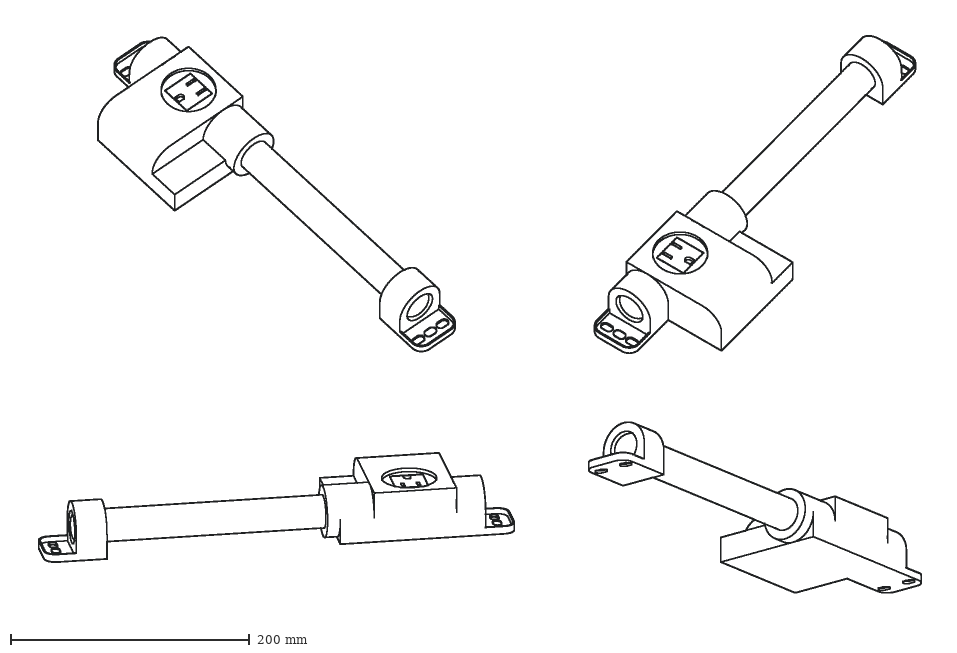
import cadquery as cq

LENGTH = 400
DEPTH = 100
HEIGHT = 44

BODY_RADIUS = HEIGHT / 2
AXIS_Y = DEPTH / 2 - BODY_RADIUS
AXIS_Z = BODY_RADIUS
ROD_RADIUS = 14.0
TIP_ROUNDING = 7.5

FLANGE_LENGTH = 26.0
FLANGE_HEIGHT = 7.0
FLANGE_CORNER = 10.0
FLANGE_WALL = 1.0
FLANGE_FLOOR = 2.0
MOUNT_WIDTH = 26.0
MOUNT_END = LENGTH / 2 - FLANGE_LENGTH

SLOT_WIDTH = 7.0
SLOT_LENGTH = 11.0
SLOT_PITCH = 13.0
SLOT_FROM_END = 12.5
BLIND_SLOT_DEPTH = 1.0

HOUSING_LEFT = -149.0
BASE_WIDTH = 99.0
BASE_HEIGHT = AXIS_Z
COVER_WIDTH = 70.0
COVER_ROUNDING = 20
COLLAR_RIGHT = -39.5

OUTLET_X = HOUSING_LEFT + COVER_WIDTH / 2
OUTLET_Y = 20
RECESS_DIAMETER = 46.0
RECESS_DEPTH = 3.0
SOCKET_SIDE = 28
SOCKET_RISE = 0.5
BLADE_WIDTH = 2.5
BLADE_LENGTH = 9.0
BLADE_SPACING = 13.0
PIN_WIDTH = 6.0
PIN_LENGTH = 7.0
HOLE_MARGIN = 1.0
HOLE_DEPTH = 3.0


def box(x_min, y_min, z_min, x_size, y_size, z_size):
    corner = (x_min, y_min, z_min)
    return cq.Workplane("XY").box(x_size, y_size, z_size, centered=False).translate(corner)


def rod_along_x(x_min, x_max, radius):
    plane = cq.Workplane("YZ", origin=(x_min, AXIS_Y, AXIS_Z))
    return plane.circle(radius).extrude(x_max - x_min)


def flange_slot(y, z_bottom):
    x = LENGTH / 2 - SLOT_FROM_END
    plane = cq.Workplane("XY", origin=(x, y, z_bottom))
    return plane.slot2D(SLOT_LENGTH, SLOT_WIDTH, 90).extrude(FLANGE_HEIGHT)


def make_flange():
    y_min = AXIS_Y - BODY_RADIUS
    flange = box(MOUNT_END, y_min, 0, FLANGE_LENGTH, HEIGHT, FLANGE_HEIGHT)
    flange = flange.edges("|Z and >X").fillet(FLANGE_CORNER)
    pocket = box(
        MOUNT_END,
        y_min + FLANGE_WALL,
        FLANGE_FLOOR,
        FLANGE_LENGTH - FLANGE_WALL,
        HEIGHT - 2 * FLANGE_WALL,
        FLANGE_HEIGHT,
    )
    flange = flange.cut(pocket.edges("|Z and >X").fillet(FLANGE_CORNER - FLANGE_WALL))
    for side in (-1, 1):
        flange = flange.cut(flange_slot(AXIS_Y + side * SLOT_PITCH, 0))
    return flange.cut(flange_slot(AXIS_Y, FLANGE_FLOOR - BLIND_SLOT_DEPTH))


def make_mount():
    """Mount at the +X end: a half-round arch on a square foot, plus its flange."""
    x_min = MOUNT_END - MOUNT_WIDTH
    foot = box(x_min, AXIS_Y - BODY_RADIUS, 0, MOUNT_WIDTH, HEIGHT, AXIS_Z)
    arch = rod_along_x(x_min, MOUNT_END, BODY_RADIUS)
    bore = rod_along_x(x_min, MOUNT_END, ROD_RADIUS)
    return foot.union(arch).cut(bore).union(make_flange())


def make_housing():
    y_min = -DEPTH / 2
    base = box(HOUSING_LEFT, y_min, 0, BASE_WIDTH, DEPTH, BASE_HEIGHT)
    cover = box(HOUSING_LEFT, y_min, 0, COVER_WIDTH, DEPTH, HEIGHT)
    cover = cover.edges("|X and >Z and <Y").fillet(COVER_ROUNDING)
    collar = rod_along_x(HOUSING_LEFT, COLLAR_RIGHT, BODY_RADIUS)
    return base.union(cover).union(collar)


def cut_outlet(body):
    floor_z = HEIGHT - RECESS_DEPTH
    socket_z = floor_z + SOCKET_RISE
    floor = cq.Workplane("XY", origin=(OUTLET_X, OUTLET_Y, floor_z))
    recess = floor.circle(RECESS_DIAMETER / 2).extrude(RECESS_DEPTH)
    socket = floor.rect(SOCKET_SIDE, SOCKET_SIDE).extrude(SOCKET_RISE)

    hole_reach = SOCKET_SIDE / 2 - HOLE_MARGIN
    bottom = cq.Workplane("XY", origin=(OUTLET_X, OUTLET_Y, socket_z - HOLE_DEPTH))
    blade_y = hole_reach - BLADE_LENGTH / 2
    blade_points = [(-BLADE_SPACING / 2, blade_y), (BLADE_SPACING / 2, blade_y)]
    blades = bottom.pushPoints(blade_points).rect(BLADE_WIDTH, BLADE_LENGTH).extrude(HOLE_DEPTH)

    half_pin = PIN_WIDTH / 2
    pin_shoulder_y = PIN_LENGTH - half_pin - hole_reach
    pin = (
        bottom.moveTo(-half_pin, -hole_reach)
        .lineTo(half_pin, -hole_reach)
        .lineTo(half_pin, pin_shoulder_y)
        .threePointArc((0, PIN_LENGTH - hole_reach), (-half_pin, pin_shoulder_y))
        .close()
        .extrude(HOLE_DEPTH)
    )
    return body.cut(recess).union(socket).cut(blades).cut(pin)


right_mount = make_mount()
left_mount = right_mount.mirror("YZ")
rod = rod_along_x(-MOUNT_END, MOUNT_END, ROD_RADIUS).edges("%CIRCLE").fillet(TIP_ROUNDING)

result = cut_outlet(make_housing()).union(left_mount).union(right_mount).union(rod)